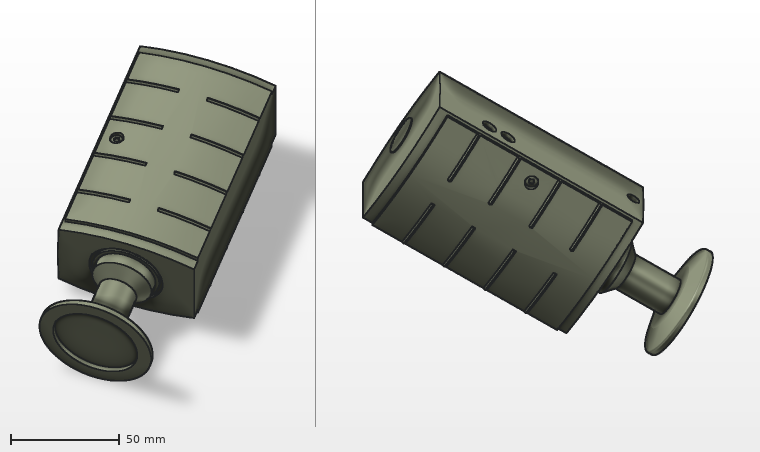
import cadquery as cq

housing_front = 41.6
housing_length = 111.0
housing_rear = housing_front + housing_length
housing_middle = housing_front + housing_length / 2
half_width = 33.5
left_corner_x = -33.0
corner_z = 19.3
housing_top_z = 23.9

cover_length = 100.7
cover_left_x = -31.7
cover_right_x = half_width
cover_middle_x = (cover_left_x + cover_right_x) / 2
cover_top_z = 25.9
cover_edge_z = 21.6

rib_half_width = 0.9
rib_height = 0.9
rib_pitch = 22.2
rib_rows = 4
rib_gap = 14.1

screw_diameter = 6.3
socket_size = 2.8
socket_depth = 1.2
socket_sides = 6
cover_screw_x = -24.5
cover_screw_recess_z = 21.0
dome_height = 1.2
side_screw_y = 47.2
side_screw_depth = 3.8

connector_diameter = 7.3
connector_depth = 2.5
connector_ys = (115.5, 125.5)
connector_z = -10.1
boss_diameter = 18.4
boss_z = 9.5
boss_height = 0.5

groove_outer_radius = 18.0
groove_inner_radius = 16.4
groove_depth = 1.5

flange_radius = 55.0 / 2
flange_rim = 2.9
flange_cone_radius = 16.5
flange_back = 6.1
flange_edge_fillet = 1.2
face_recess_radius = 20.7
face_recess_depth = 2.5
tube_radius = 9.2
collar_radius = 14.5
collar_front = 36.1
collar_cone_front = collar_front - (collar_radius - tube_radius)


def arc_radius(rise, half_chord):
    """Radius of an arc from its rise and half its chord."""
    return (half_chord**2 + rise**2) / (2 * rise)


def slab(x_min, x_max, y_min, y_max, z_min, z_max):
    size = (x_max - x_min, y_max - y_min, z_max - z_min)
    return cq.Workplane("XY").box(*size, centered=False).translate((x_min, y_min, z_min))


def block():
    """Body with arched top and bottom and a shallow V on its left side."""
    housing_middle_x = (left_corner_x + half_width) / 2
    return (
        cq.Workplane("XZ", origin=(0, housing_front, 0))
        .moveTo(half_width, -corner_z)
        .lineTo(half_width, corner_z)
        .threePointArc((housing_middle_x, housing_top_z), (left_corner_x, corner_z))
        .lineTo(-half_width, 0)
        .lineTo(left_corner_x, -corner_z)
        .threePointArc((housing_middle_x, -housing_top_z), (half_width, -corner_z))
        .close()
        .extrude(-housing_length)
    )


def covers():
    """One plate through the block whose arched faces stand out above and below it."""
    return (
        cq.Workplane("XZ", origin=(0, housing_middle - cover_length / 2, 0))
        .moveTo(cover_right_x, -cover_edge_z)
        .lineTo(cover_right_x, cover_edge_z)
        .threePointArc((cover_middle_x, cover_top_z), (cover_left_x, cover_edge_z))
        .lineTo(cover_left_x, -cover_edge_z)
        .threePointArc((cover_middle_x, -cover_top_z), (cover_right_x, -cover_edge_z))
        .close()
        .extrude(-cover_length)
    )


def top_ribs():
    """Gabled ribs that follow the arc of the top cover, clipped to its two sides."""
    radius = arc_radius(cover_top_z - cover_edge_z, (cover_right_x - cover_left_x) / 2)
    center_z = cover_top_z - radius
    keep_left = slab(cover_left_x, cover_middle_x - rib_gap / 2, housing_front, housing_rear, 0, radius)
    keep_right = slab(cover_middle_x + rib_gap / 2, cover_right_x, housing_front, housing_rear, 0, radius)
    ribs = cq.Workplane("XY")
    for row in range(rib_rows):
        rib_y = housing_middle + (row - (rib_rows - 1) / 2) * rib_pitch
        ring = (
            cq.Workplane("YZ", origin=(cover_middle_x, rib_y, center_z))
            .moveTo(-rib_half_width, radius - rib_height)
            .lineTo(-rib_half_width, radius)
            .lineTo(0, radius + rib_height)
            .lineTo(rib_half_width, radius)
            .lineTo(rib_half_width, radius - rib_height)
            .close()
            .revolve(360, (0, 0), (1, 0))
        )
        ribs = ribs.add(ring.intersect(keep_left)).add(ring.intersect(keep_right))
    return ribs.combine()


def top_screw_recess():
    """Hole in the top cover, less the domed screw head with its hexagon socket."""
    base = cq.Workplane("XY", origin=(cover_screw_x, housing_middle, cover_screw_recess_z))
    hole = base.circle(screw_diameter / 2).extrude(cover_top_z - cover_screw_recess_z)
    dome_radius = arc_radius(dome_height, screw_diameter / 2)
    dome = cq.Workplane("XY").sphere(dome_radius).translate(
        (cover_screw_x, housing_middle, cover_screw_recess_z + dome_height - dome_radius)
    )
    socket = base.polygon(socket_sides, socket_size).extrude(dome_height)
    return hole.cut(dome).union(socket)


def side_screw_recess():
    """Round hole in the left side with a hexagon socket in its floor."""
    floor = cq.Workplane("YZ", origin=(-half_width + side_screw_depth, side_screw_y, 0))
    hole = floor.circle(screw_diameter / 2).extrude(-side_screw_depth)
    socket = floor.polygon(socket_sides, socket_size).extrude(socket_depth)
    return hole.union(socket)


def connector_holes():
    return (
        cq.Workplane("YZ", origin=(-half_width, 0, connector_z))
        .pushPoints([(y, 0) for y in connector_ys])
        .circle(connector_diameter / 2)
        .extrude(connector_depth)
    )


def collar_groove():
    return (
        cq.Workplane("XZ", origin=(0, housing_front, 0))
        .circle(groove_outer_radius)
        .circle(groove_inner_radius)
        .extrude(-groove_depth)
    )


def rear_boss():
    return (
        cq.Workplane("XZ", origin=(0, housing_rear, boss_z))
        .circle(boss_diameter / 2)
        .extrude(-boss_height)
    )


def make_housing():
    ribs = top_ribs()
    screw = top_screw_recess()
    return (
        block()
        .union(covers())
        .union(ribs)
        .union(ribs.mirror("XY"))
        .union(rear_boss())
        .cut(screw)
        .cut(screw.mirror("XY"))
        .cut(side_screw_recess())
        .cut(connector_holes())
        .cut(collar_groove())
    )


def make_tube():
    """Turned tube: flange with a shallow recess, neck, and collar standing on the housing."""
    widest_edges = cq.selectors.RadiusNthSelector(-1)
    face_edges = cq.selectors.DirectionMinMaxSelector(cq.Vector(0, 1, 0), False)
    return (
        cq.Workplane("XY")
        .moveTo(0, face_recess_depth)
        .lineTo(-face_recess_radius, face_recess_depth)
        .lineTo(-face_recess_radius, 0)
        .lineTo(-flange_radius, 0)
        .lineTo(-flange_radius, flange_rim)
        .lineTo(-flange_cone_radius, flange_back)
        .lineTo(-tube_radius, flange_back)
        .lineTo(-tube_radius, collar_cone_front)
        .lineTo(-collar_radius, collar_front)
        .lineTo(-collar_radius, housing_front)
        .lineTo(0, housing_front)
        .close()
        .revolve(360, (0, 0), (0, 1))
        .edges(widest_edges - face_edges)
        .fillet(flange_edge_fillet)
    )


housing = make_housing()
flanged_tube = make_tube()
result = cq.Compound.makeCompound([housing.val(), flanged_tube.val()])